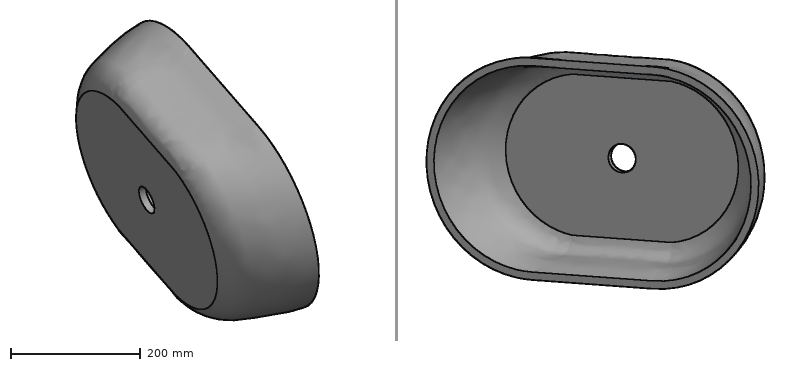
import cadquery as cq

length = 550.0
depth = 142.0
rim_height = 350.0
floor_length = 410.0
floor_height = 279.5

rim_straight = (length - rim_height) / 2
floor_straight = 82.5

wall = 12.5
drain_diameter = 45.0
cut_margin = 5.5

stations = [
    (0.0, length / 2, rim_height / 2),
    (26.0, 271.5, 170.5),
    (51.5, 265.0, 165.5),
    (91.5, 250.0, 166.0),
    (117.0, 235.5, 164.0),
    (131.5, 220.5, 156.5),
    (depth, floor_length / 2, floor_height / 2),
]


def stadium_loft(total_depth, inset):
    """Body lofted through oval sections, inset inward and shortened to total_depth."""
    wires = []
    for distance, half_length, half_height in stations:
        fraction = distance / depth
        straight = rim_straight + (floor_straight - rim_straight) * fraction
        x_end = half_length - inset
        z_edge = half_height - inset
        section = (
            cq.Workplane("XZ", origin=(0, -fraction * total_depth, 0))
            .moveTo(-straight, z_edge)
            .lineTo(straight, z_edge)
            .threePointArc((x_end, 0), (straight, -z_edge))
            .lineTo(-straight, -z_edge)
            .threePointArc((-x_end, 0), (-straight, z_edge))
            .close()
        )
        wires.append(section.val())
    return cq.Workplane(cq.Solid.makeLoft(wires, False))


outer = stadium_loft(depth, 0)
cavity = stadium_loft(depth - wall, wall)

drain = (
    cq.Workplane("XZ", origin=(0, cut_margin, 0))
    .circle(drain_diameter / 2)
    .extrude(depth + 2 * cut_margin)
)

result = outer.cut(cavity).cut(drain)